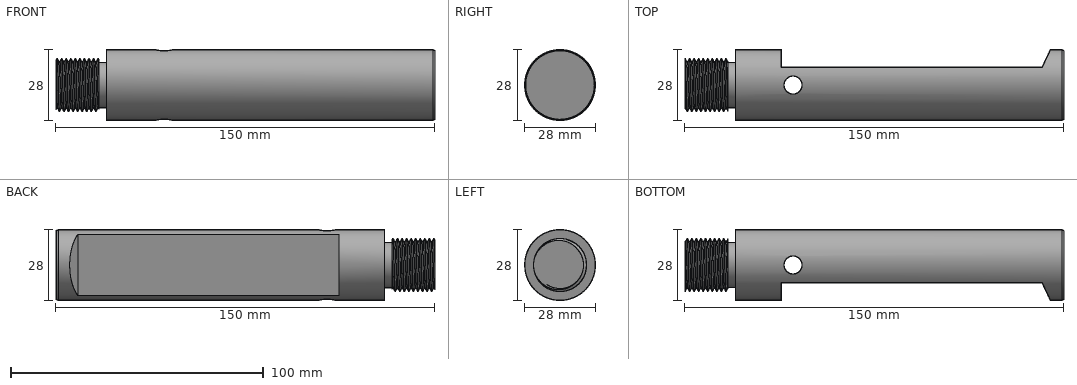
import cadquery as cq

total_length = 150.0
body_diameter = 28.0
body_radius = body_diameter / 2
shoulder_x = 20.0

neck_radius = 9.0
thread_length = 17.0
thread_pitch = 1.8
thread_root_radius = 9.3
thread_crest_radius = 10.5
thread_base_width = 1.6
thread_crest_width = 0.2
thread_root_overlap = 0.3

flat_y = 7.0
notch_start_x = 38.1
notch_floor_end_x = 141.3
notch_top_end_x = 144.6

hole_diameter = 7.0
hole_x = 42.8

bevel_length = 0.9
bevel_depth = 0.5


def make_shaft():
    """Revolve the neck and the bevelled body about X."""
    return (
        cq.Workplane("XY")
        .moveTo(thread_length, 0)
        .lineTo(thread_length, neck_radius)
        .lineTo(shoulder_x, neck_radius)
        .lineTo(shoulder_x, body_radius)
        .lineTo(total_length - bevel_length, body_radius)
        .lineTo(total_length, body_radius - bevel_depth)
        .lineTo(total_length, 0)
        .close()
        .revolve(360, (0, 0, 0), (1, 0, 0))
    )


def make_thread():
    """Build a right-hand helical ridge on a root cylinder, with both ends cut square."""
    helix_start = -thread_pitch
    helix_length = thread_length + 2 * thread_pitch
    base_radius = thread_root_radius - thread_root_overlap

    axis_plane = cq.Plane(origin=(helix_start, 0, 0), xDir=(0, 1, 0), normal=(1, 0, 0))
    helix = cq.Wire.makeHelix(thread_pitch, helix_length, base_radius)
    path = cq.Workplane(obj=helix.moved(cq.Location(axis_plane)))
    half_base = thread_base_width / 2
    half_crest = thread_crest_width / 2
    ridge = (
        cq.Workplane("XY", origin=(helix_start, 0, 0))
        .polyline([
            (-half_base, base_radius),
            (-half_crest, thread_crest_radius),
            (half_crest, thread_crest_radius),
            (half_base, base_radius),
        ])
        .close()
        .sweep(path, isFrenet=True)
    )
    core = (
        cq.Workplane("YZ", origin=(helix_start - thread_pitch, 0, 0))
        .circle(thread_root_radius)
        .extrude(helix_length + 2 * thread_pitch)
    )
    envelope = cq.Workplane("YZ").circle(body_radius).extrude(thread_length)
    return core.union(ridge).intersect(envelope)


def make_notch():
    """Cutter for the flat; its sloped end wall continues past the body surface."""
    slope_run = (notch_top_end_x - notch_floor_end_x) / (body_radius - flat_y)
    cutter_top_y = body_diameter
    cutter_top_end_x = notch_floor_end_x + slope_run * (cutter_top_y - flat_y)
    return (
        cq.Workplane("XY")
        .moveTo(notch_start_x, flat_y)
        .lineTo(notch_floor_end_x, flat_y)
        .lineTo(cutter_top_end_x, cutter_top_y)
        .lineTo(notch_start_x, cutter_top_y)
        .close()
        .extrude(body_radius, both=True)
    )


def make_cross_hole():
    """Cutter for the through hole along Z."""
    return cq.Workplane("XY").center(hole_x, 0).circle(hole_diameter / 2).extrude(body_radius, both=True)


body = make_shaft().cut(make_notch()).cut(make_cross_hole())
result = body.union(make_thread())